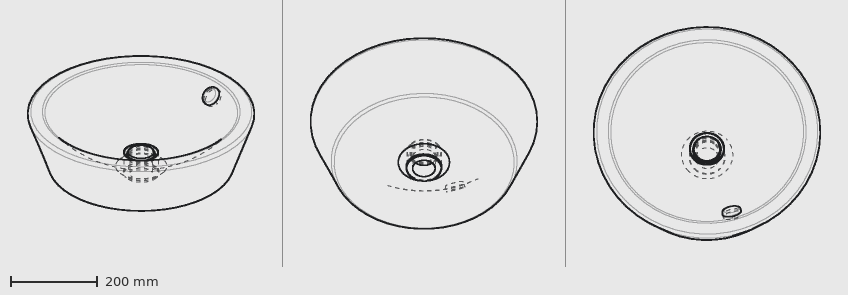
import cadquery as cq
import math

total_height = 165.0
rim_diameter = 524.0
rim_fillet = 7.0
side_taper = 19.7
base_z = 20.5
base_fillet = 7.5
lip_fillet = 7.5
bowl_radius = 282.0
bowl_mouth_radius = 225.0
boss_top_radius = 59.0
boss_bottom_radius = 41.5
boss_bottom_z = 4.5

drain_diameter = 80.0
drain_lip_width = 1.5
mouth_diameter = 65.0
mouth_depth = 3.5
seat_depth = 8.0
bore_diameter = 52.0

plug_head_diameter = 60.0
plug_edge_rise = 1.0
dome_height = 4.5
shank_length = 10.5

cap_diameter = 44.0
cap_face_diameter = 34.0
cap_protrusion = 9.5
cap_depth = 5.0
cap_tilt = 45.4

bowl_center_z = total_height + math.sqrt(bowl_radius**2 - bowl_mouth_radius**2)
drain_radius = drain_diameter / 2
drain_top_z = bowl_center_z - math.sqrt(bowl_radius**2 - drain_radius**2)
seat_z = drain_top_z - seat_depth


def revolve_z(profile):
    """Turn a closed half-profile, drawn as (radius, z), about the Z axis."""
    return profile.close().revolve(360, (0, 0, 0), (0, 1, 0))


def make_basin_blank():
    taper = math.radians(side_taper)
    fillet_center_radius = rim_diameter / 2 - rim_fillet
    top_corner = fillet_center_radius + rim_fillet / math.tan((math.pi / 2 - taper) / 2)
    base_corner = top_corner - (total_height - base_z) * math.tan(taper)
    body = revolve_z(
        cq.Workplane("XZ")
        .moveTo(0, base_z)
        .lineTo(base_corner, base_z)
        .lineTo(top_corner, total_height)
        .lineTo(0, total_height)
    )
    body = body.faces(">Z").edges().fillet(rim_fillet)
    body = body.faces("<Z").edges().fillet(base_fillet)
    boss = revolve_z(
        cq.Workplane("XZ")
        .moveTo(0, boss_bottom_z)
        .lineTo(boss_bottom_radius, boss_bottom_z)
        .lineTo(boss_top_radius, base_z)
        .lineTo(0, base_z)
    )
    return body.union(boss)


def make_basin(cap):
    bowl = cq.Workplane("XY").sphere(bowl_radius).translate((0, 0, bowl_center_z))
    basin = make_basin_blank().cut(bowl)
    basin = basin.faces(">Z").edges(cq.selectors.RadiusNthSelector(0)).fillet(lip_fillet)
    drain_hole = cq.Workplane("XY").circle(drain_radius).extrude(total_height)
    return basin.cut(drain_hole).cut(cap)


def make_drain():
    mouth_radius = mouth_diameter / 2
    bore_radius = bore_diameter / 2
    return revolve_z(
        cq.Workplane("XZ")
        .moveTo(bore_radius, 0)
        .lineTo(drain_radius, 0)
        .lineTo(drain_radius, drain_top_z)
        .lineTo(drain_radius - drain_lip_width, drain_top_z)
        .lineTo(mouth_radius, drain_top_z - mouth_depth)
        .lineTo(mouth_radius, seat_z)
        .lineTo(bore_radius, seat_z)
    )


def make_plug():
    head_radius = plug_head_diameter / 2
    shank_radius = bore_diameter / 2
    edge_z = drain_top_z + plug_edge_rise
    dome_radius = (head_radius**2 + dome_height**2) / (2 * dome_height)
    dome_center_z = edge_z + dome_height - dome_radius
    mid_radius = head_radius / 2
    mid_z = dome_center_z + math.sqrt(dome_radius**2 - mid_radius**2)
    return revolve_z(
        cq.Workplane("XZ")
        .moveTo(0, seat_z - shank_length)
        .lineTo(shank_radius, seat_z - shank_length)
        .lineTo(shank_radius, seat_z)
        .lineTo(head_radius, seat_z)
        .lineTo(head_radius, edge_z)
        .threePointArc((mid_radius, mid_z), (0, edge_z + dome_height))
    )


def make_cap():
    tilt = math.radians(cap_tilt)
    outward = cq.Vector(0, math.sin(tilt), -math.cos(tilt))
    back_center = cq.Vector(0, 0, bowl_center_z) + outward * (bowl_radius + cap_depth)
    back_plane = cq.Plane(origin=back_center, xDir=(1, 0, 0), normal=outward * -1)
    edge_fillet = (cap_diameter - cap_face_diameter) / 2
    button = cq.Workplane(back_plane).circle(cap_diameter / 2).extrude(cap_depth + cap_protrusion)
    return button.faces(cq.selectors.DirectionMinMaxSelector(outward * -1)).edges().fillet(edge_fillet)


overflow_cap = make_cap()
basin = make_basin(overflow_cap)
drain = make_drain()
plug = make_plug()

result = cq.Compound.makeCompound([basin.val(), drain.val(), plug.val(), overflow_cap.val()])